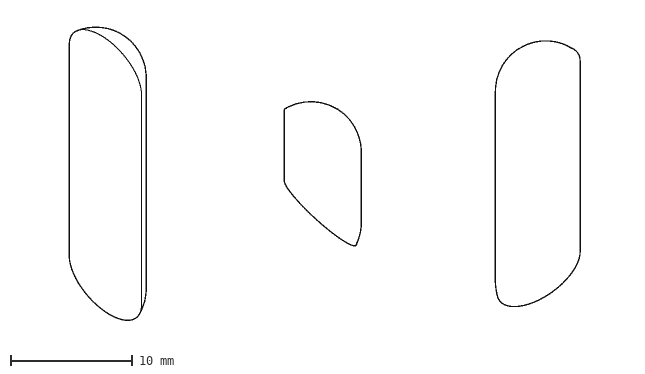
import cadquery as cq

length = 35.0
width = 8.0
height = 3.0

half_width = width / 2
dome_radius = (half_width**2 + height**2) / (2 * height)
dome_center_y = height - dome_radius
end_offset = length / 2 - half_width


def capsule():
    """Round bar with hemispherical ends, axis along Z."""
    bar = (
        cq.Workplane("XY")
        .workplane(offset=-end_offset)
        .center(0, dome_center_y)
        .circle(dome_radius)
        .extrude(2 * end_offset)
    )
    for end_z in (-end_offset, end_offset):
        ball = cq.Workplane("XY").sphere(dome_radius).translate((0, dome_center_y, end_z))
        bar = bar.union(ball)
    return bar


keep_size = 2 * length
keep_block = cq.Workplane("XY").box(keep_size, keep_size, keep_size, centered=(True, False, True))

result = capsule().intersect(keep_block)